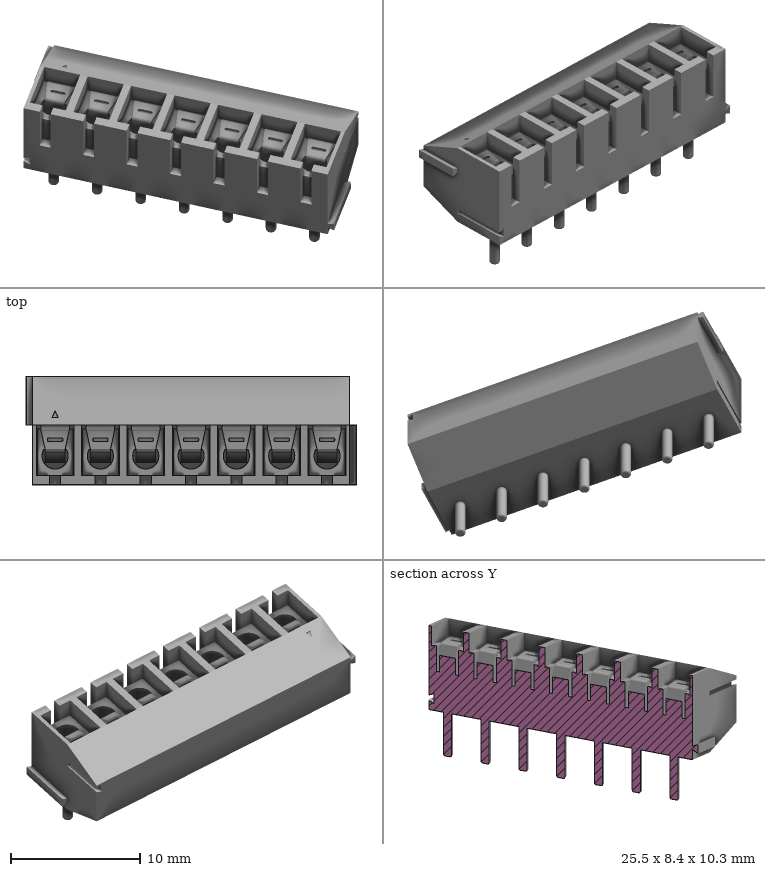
import cadquery as cq
import math

overall_length = 25.5
poles = 7
body_length = 24.5
pitch = body_length / poles
body_depth = 8.4
body_height = 6.8
bevel_depth = 3.77
bevel_height = 1.53
ridge_y = body_depth - bevel_depth

pocket_width = 2.9
front_wall = 0.71
pocket_depth = 1.53
pocket_length = ridge_y - front_wall
floor_z = body_height - pocket_depth
slot_width = 0.87
slot_depth = 3.82

side_groove = 0.08
rear_groove = 0.3
groove_depth = 0.08

tongue_rise = 0.23
tongue_rear_width = 2.2
tongue_front_width = 1.53
rear_length = 0.38
rear_bulge = 0.038
tongue_front_y = 2.73
nose_length = 0.23
nose_bulge = 0.05
ramp_end_y = 1.73
test_slot_length = 1.2
test_slot_width = 0.3
test_slot_y = 3.5
test_slot_depth = 0.2

well_diameter = 2.01
well_y = 2.25
well_depth = 2.05

pin_diameter = 0.82
pin_length = 3.5
pin_y = 2.32
pin_fillet = 0.18

rear_rib_reach = 0.48
rear_rib_z = 4.77
rear_rib_neck = 0.38
rear_rib_width = 0.71
front_rib_reach = overall_length - body_length - rear_rib_reach
front_rib_z = 0.97
front_rib_neck = 0.35
front_rib_width = 0.76
front_rib_lean = 0.03

mark_width = 0.45
mark_length = 0.48
mark_base_y = 5.23
mark_depth = 0.1

pole_xs = [(i - (poles - 1) / 2) * pitch for i in range(poles)]
left_x = -body_length / 2
right_x = body_length / 2


def block(width, length, height, x, y, z):
    """Box centred on x, starting at y and z."""
    return cq.Workplane("XY").box(width, length, height, centered=(True, False, False)).translate((x, y, z))


def make_body():
    return (
        cq.Workplane("YZ")
        .moveTo(0, 0)
        .lineTo(ridge_y, 0)
        .lineTo(body_depth, bevel_height)
        .lineTo(body_depth, body_height - bevel_height)
        .lineTo(ridge_y, body_height)
        .lineTo(0, body_height)
        .close()
        .extrude(body_length / 2, both=True)
    )


def make_dovetail(wall_x, reach, z, neck, width, start_y, length, lean=0.0):
    """Prism along Y whose section widens from neck to width over reach, which is signed along X.

    The top corner of the wide end falls short of reach by lean.
    """
    return (
        cq.Workplane("XZ", origin=(wall_x, start_y, z))
        .moveTo(0, -neck / 2)
        .lineTo(reach, -width / 2)
        .lineTo(reach - lean, width / 2)
        .lineTo(0, neck / 2)
        .close()
        .extrude(-length)
    )


def make_rear_dovetail(wall_x):
    return make_dovetail(
        wall_x, -rear_rib_reach, rear_rib_z, rear_rib_neck, rear_rib_width, ridge_y, bevel_depth
    )


def make_front_dovetail(wall_x):
    return make_dovetail(
        wall_x, front_rib_reach, front_rib_z, front_rib_neck, front_rib_width,
        0, ridge_y, front_rib_lean,
    )


def make_well(x):
    disc = cq.Workplane("XY").circle(well_diameter / 2).extrude(well_depth)
    disc = disc.translate((x, well_y, floor_z - well_depth))
    front_part = block(pocket_width, tongue_front_y, body_height, x, 0, 0)
    return disc.intersect(front_part)


def make_pole_cut(x):
    """Everything removed from the body at one pole."""
    pocket = block(pocket_width, pocket_length, pocket_depth, x, front_wall, floor_z)
    slot = block(slot_width, front_wall, slot_depth, x, 0, body_height - slot_depth)
    groove = block(pocket_width, pocket_length, groove_depth, x, front_wall, floor_z - groove_depth)
    floor = block(
        pocket_width - 2 * side_groove, pocket_length - rear_groove, groove_depth,
        x, front_wall, floor_z - groove_depth,
    )
    return pocket.union(slot).union(groove.cut(floor)).union(make_well(x))


def bulged_middle(start, end, bulge):
    """Middle of an arc from start to end that swells to the right of its chord by bulge."""
    run = end[0] - start[0]
    rise = end[1] - start[1]
    chord = math.hypot(run, rise)
    middle_y = (start[0] + end[0]) / 2 + bulge * rise / chord
    middle_z = (start[1] + end[1]) / 2 - bulge * run / chord
    return middle_y, middle_z


def make_tongue(x):
    top_z = floor_z + tongue_rise
    base_z = floor_z - well_depth
    nose_y = tongue_front_y - nose_length
    round_y = ridge_y - rear_length
    rear_bottom = (ridge_y, floor_z)
    rear_top = (round_y, top_z)
    nose_top = (tongue_front_y, top_z)
    nose_bottom = (nose_y, floor_z)
    side = (
        cq.Workplane("YZ")
        .moveTo(*rear_top)
        .lineTo(*nose_top)
        .threePointArc(bulged_middle(nose_top, nose_bottom, nose_bulge), nose_bottom)
        .lineTo(ramp_end_y, base_z)
        .lineTo(ridge_y, base_z)
        .lineTo(*rear_bottom)
        .threePointArc(bulged_middle(rear_bottom, rear_top, rear_bulge), rear_top)
        .close()
        .extrude(pocket_width / 2, both=True)
    )
    rear_half = tongue_rear_width / 2
    front_half = tongue_front_width / 2
    plan = (
        cq.Workplane("XY", origin=(0, 0, base_z))
        .polyline([
            (-rear_half, ridge_y), (-rear_half, round_y),
            (-front_half, tongue_front_y), (-front_half, ramp_end_y),
            (front_half, ramp_end_y), (front_half, tongue_front_y),
            (rear_half, round_y), (rear_half, ridge_y),
        ])
        .close()
        .extrude(well_depth + tongue_rise)
    )
    test_slot = (
        cq.Workplane("XY", origin=(0, test_slot_y, top_z))
        .slot2D(test_slot_length, test_slot_width)
        .extrude(-test_slot_depth)
    )
    return side.intersect(plan).cut(test_slot).translate((x, 0, 0))


def make_pin(x):
    pin = cq.Workplane("XY").circle(pin_diameter / 2).extrude(-pin_length)
    return pin.faces("<Z").fillet(pin_fillet).translate((x, pin_y, 0))


def make_mark(x):
    """Triangle pointing to the rear, sunk vertically to a constant depth below the bevel."""
    prism = (
        cq.Workplane("XY", origin=(x, mark_base_y, 0))
        .polyline([(-mark_width / 2, 0), (mark_width / 2, 0), (0, mark_length)])
        .close()
        .extrude(body_height)
    )
    return prism.cut(make_body().translate((0, 0, -mark_depth)))


result = make_body()
for pole_x in pole_xs:
    result = result.cut(make_pole_cut(pole_x))
    result = result.union(make_tongue(pole_x))
    result = result.union(make_pin(pole_x))

result = result.union(make_rear_dovetail(left_x)).cut(make_rear_dovetail(right_x))
result = result.union(make_front_dovetail(right_x)).cut(make_front_dovetail(left_x))
result = result.cut(make_mark(pole_xs[0]))